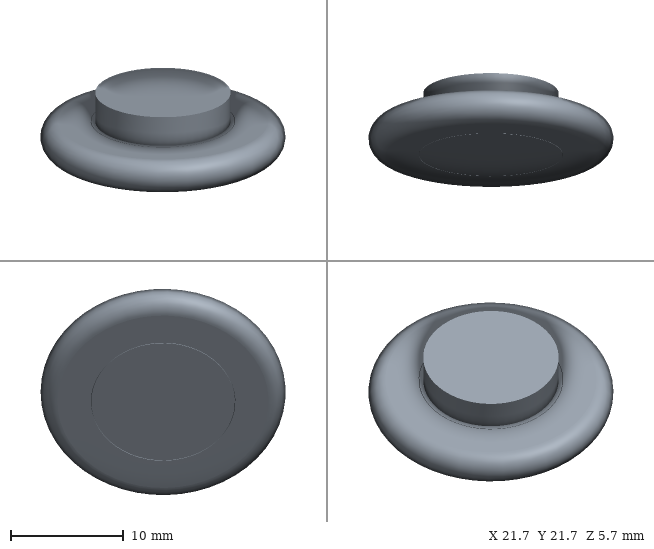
import cadquery as cq

ring_diameter = 21.7
ring_height = 3.0
rim_radius = ring_height / 2
bore_diameter = 12.8

flange_diameter = 12.7
flange_height = ring_height
button_diameter = 12.0
total_height = 5.7


def make_ring():
    """Flat ring with a fully rounded outer rim and a plain through bore."""
    inner = bore_diameter / 2
    outer = ring_diameter / 2
    shoulder = outer - rim_radius
    return (
        cq.Workplane("XZ")
        .moveTo(inner, 0)
        .lineTo(shoulder, 0)
        .threePointArc((outer, rim_radius), (shoulder, ring_height))
        .lineTo(inner, ring_height)
        .close()
        .revolve(360, (0, 0, 0), (0, 1, 0))
    )


def make_button():
    """Round button standing on a wider flange that sits loosely in the bore."""
    flange = cq.Workplane("XY").circle(flange_diameter / 2).extrude(flange_height)
    head = cq.Workplane("XY").circle(button_diameter / 2).extrude(total_height)
    return flange.union(head)


ring = make_ring()
button = make_button()

result = cq.Compound.makeCompound([ring.val(), button.val()])